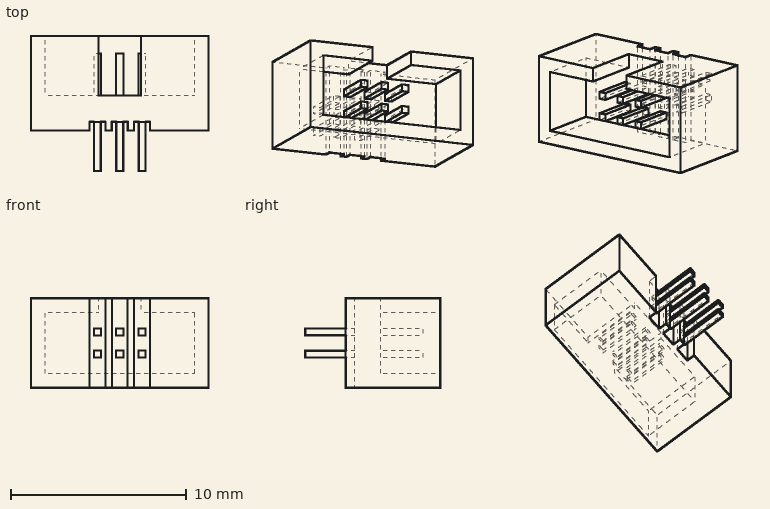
import cadquery as cq

body_width = 10.11
body_depth = 5.4
body_height = 5.1
wall_thickness = 0.8
cavity_depth = 3.4
key_notch_width = 2.4

pitch = 1.27
columns = 3
rows = 2
pin_side = 0.4
tail_length = 2.3
tip_recess = 1.0

slot_width = 0.9
slot_depth = 0.5

rear_y = -body_depth / 2
front_y = body_depth / 2
cavity_floor_y = front_y - cavity_depth
pin_length = tail_length + body_depth - tip_recess


def block(width, depth, height, x, y_start, z):
    """Box centred on x and z, running from y_start toward +Y."""
    box = cq.Workplane("XY").box(width, depth, height, centered=(True, False, True))
    return box.translate((x, y_start, z))


def centred_positions(count):
    """Positions spaced by one pitch and centred on zero."""
    return [(index - (count - 1) / 2) * pitch for index in range(count)]


def shroud():
    """Open-fronted housing with a polarising notch through its top wall."""
    housing = block(body_width, body_depth, body_height, 0, rear_y, 0)
    cavity = block(
        body_width - 2 * wall_thickness,
        cavity_depth,
        body_height - 2 * wall_thickness,
        0,
        cavity_floor_y,
        0,
    )
    top_wall_z = (body_height - wall_thickness) / 2
    key_notch = block(key_notch_width, cavity_depth, wall_thickness, 0, cavity_floor_y, top_wall_z)
    return housing.cut(cavity).cut(key_notch)


def cut_relief_slots(housing):
    """Full-height slots around the pin tails."""
    for x in centred_positions(columns):
        housing = housing.cut(block(slot_width, slot_depth, body_height, x, rear_y, 0))
    return housing


def add_pins(housing):
    """Straight square pins passing through the rear wall."""
    for x in centred_positions(columns):
        for z in centred_positions(rows):
            housing = housing.union(block(pin_side, pin_length, pin_side, x, rear_y - tail_length, z))
    return housing


result = add_pins(cut_relief_slots(shroud()))